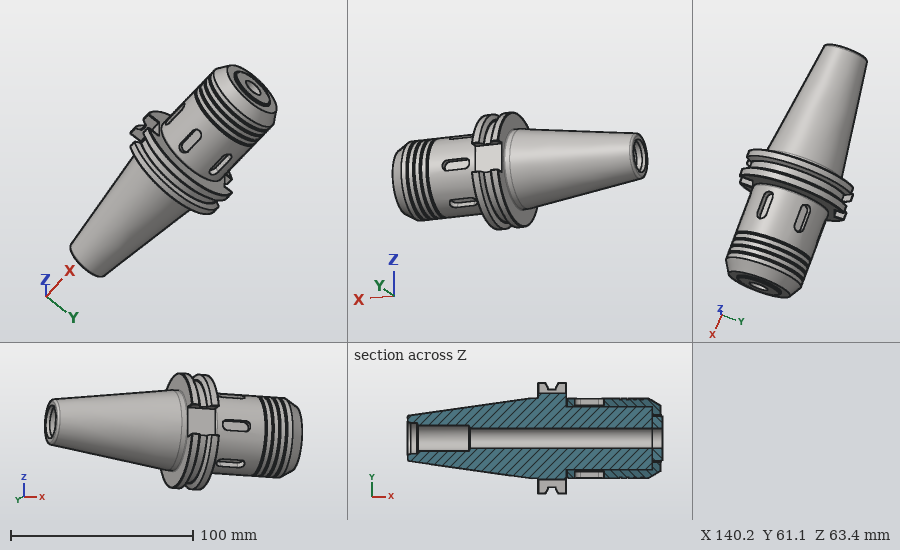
import cadquery as cq
import math

TOTAL_LENGTH = 140.2

TAPER_LENGTH = 68.3
TAPER_END_DIA = 25.0
SHANK_DIA = 44.3
END_FILLET = 1.4
ROOT_FILLET = 0.4

FLANGE_START = 71.7
FLANGE_END = 87.4
FLANGE_DIA = 63.4
FLANGE_CHAMFER = 0.4
GRIP_CENTRE = 79.4
GRIP_FLOOR_DIA = 56.2
GRIP_FLOOR_WIDTH = 4.0
GRIP_MOUTH_WIDTH = 7.3
GRIP_WALL_DIA = 57.5
KEY_SLOT_WIDTH = 16.1
KEY_FLOOR_FRONT = 22.7
KEY_FLOOR_BACK = 24.8

MOUTH_DIA = 18.2
MOUTH_DEPTH = 2.0
ENTRY_DIA = 16.7
ENTRY_END = 5.2
MIDDLE_DIA = 13.9
MIDDLE_END = 33.7
THROUGH_DIA = 10.7
STEP_HALF_ANGLE = 60

CORE_DIA = 35.0
CORE_END = 134.6

NUT_START = 87.8
NUT_END = 139.1
NUT_DIA = 44.0
NUT_FILLET = 1.0
NOSE_START = 132.4
NOSE_DIA = 36.0
GROOVE_COUNT = 4
GROOVE_START = 116.7
GROOVE_PITCH = 3.9
GROOVE_WIDTH = 1.0
GROOVE_DEPTH = 0.5

SLOT_COUNT = 6
SLOT_CENTRE = 100.0
SLOT_LENGTH = 16.0
SLOT_WIDTH = 6.0
SLOT_FLOOR_RADIUS = 18.2

RING_DIA = 25.8
RING_END = 139.5
SLEEVE_DIA = 24.1


def revolve_about_x(profile):
    """Turn an (x, radius) half profile once around the X axis."""
    return profile.close().revolve(360, (0, 0, 0), (1, 0, 0))


def cylinder(start, end, diameter):
    """Cylinder along X from start to end."""
    return cq.Workplane("YZ").workplane(offset=start).circle(diameter / 2).extrude(end - start)


def tube(start, end, outer_dia, inner_dia):
    """Hollow cylinder along X from start to end."""
    return cylinder(start, end, outer_dia).cut(cylinder(start, end, inner_dia))


def make_shank():
    """Taper and gauge cylinder, with a small fillet into the flange face."""
    shank_radius = SHANK_DIA / 2
    shank = revolve_about_x(
        cq.Workplane("XY")
        .lineTo(0, TAPER_END_DIA / 2)
        .lineTo(TAPER_LENGTH, shank_radius)
        .lineTo(FLANGE_START - ROOT_FILLET, shank_radius)
        .tangentArcPoint((ROOT_FILLET, ROOT_FILLET), relative=True)
        .lineTo(FLANGE_START, 0)
    )
    return shank.faces("<X").edges().fillet(END_FILLET)


def make_flange():
    flange = cylinder(FLANGE_START, FLANGE_END, FLANGE_DIA)
    for side, floor in ((-1, KEY_FLOOR_FRONT), (1, KEY_FLOOR_BACK)):
        key_slot = cq.Workplane("XY").box(
            FLANGE_END - FLANGE_START, FLANGE_DIA, KEY_SLOT_WIDTH, centered=(False, True, True)
        )
        flange = flange.cut(key_slot.translate((FLANGE_START, side * (floor + FLANGE_DIA / 2), 0)))

    rim_corners = flange.edges("|X").filter(
        lambda edge: abs(edge.Center().y) > KEY_FLOOR_BACK + FLANGE_CHAMFER
    )
    end_face_edges = flange.faces("<X or >X").edges("not |Z")
    flange = end_face_edges.add(rim_corners).chamfer(FLANGE_CHAMFER)

    mouth_half = GRIP_MOUTH_WIDTH / 2
    floor_half = GRIP_FLOOR_WIDTH / 2
    grip_groove = revolve_about_x(
        cq.Workplane("XY")
        .moveTo(GRIP_CENTRE - mouth_half, FLANGE_DIA / 2)
        .lineTo(GRIP_CENTRE - floor_half, GRIP_WALL_DIA / 2)
        .lineTo(GRIP_CENTRE - floor_half, GRIP_FLOOR_DIA / 2)
        .lineTo(GRIP_CENTRE + floor_half, GRIP_FLOOR_DIA / 2)
        .lineTo(GRIP_CENTRE + floor_half, GRIP_WALL_DIA / 2)
        .lineTo(GRIP_CENTRE + mouth_half, FLANGE_DIA / 2)
    )
    return flange.cut(grip_groove)


def make_bore():
    """Cutter for the bore: a flared mouth, then cones narrowing down to the through hole."""
    step_slope = math.tan(math.radians(STEP_HALF_ANGLE))
    entry_cone = (ENTRY_DIA - MIDDLE_DIA) / 2 / step_slope
    middle_cone = (MIDDLE_DIA - THROUGH_DIA) / 2 / step_slope
    return revolve_about_x(
        cq.Workplane("XY")
        .lineTo(0, MOUTH_DIA / 2)
        .lineTo(MOUTH_DEPTH, ENTRY_DIA / 2)
        .lineTo(ENTRY_END, ENTRY_DIA / 2)
        .lineTo(ENTRY_END + entry_cone, MIDDLE_DIA / 2)
        .lineTo(MIDDLE_END, MIDDLE_DIA / 2)
        .lineTo(MIDDLE_END + middle_cone, THROUGH_DIA / 2)
        .lineTo(CORE_END, THROUGH_DIA / 2)
        .lineTo(CORE_END, 0)
    )


def make_holder():
    core = cylinder(FLANGE_END, CORE_END, CORE_DIA)
    return make_shank().union(make_flange()).union(core).cut(make_bore())


def make_nut_blank():
    """Nut with its rounded rear edge and conical nose, hollow for the core and the front ring."""
    nose_length = NUT_END - NOSE_START
    barrel = cylinder(NUT_START, NOSE_START, NUT_DIA).faces("<X").edges().fillet(NUT_FILLET)
    nose = revolve_about_x(
        cq.Workplane("XY", origin=(NOSE_START, 0, 0))
        .lineTo(0, NUT_DIA / 2)
        .lineTo(nose_length, NOSE_DIA / 2)
        .lineTo(nose_length, 0)
    )
    core_hole = cylinder(NUT_START, CORE_END, CORE_DIA)
    ring_hole = cylinder(CORE_END, NUT_END, RING_DIA)
    return barrel.union(nose).cut(core_hole).cut(ring_hole)


def make_nut():
    nut = make_nut_blank()
    for index in range(GROOVE_COUNT):
        start = GROOVE_START + index * GROOVE_PITCH
        nut = nut.cut(tube(start, start + GROOVE_WIDTH, NUT_DIA, NUT_DIA - 2 * GROOVE_DEPTH))
    slot = (
        cq.Workplane("XZ", origin=(SLOT_CENTRE, -SLOT_FLOOR_RADIUS, 0))
        .slot2D(SLOT_LENGTH, SLOT_WIDTH)
        .extrude(NUT_DIA / 2)
    )
    for index in range(SLOT_COUNT):
        nut = nut.cut(slot.rotate((0, 0, 0), (1, 0, 0), index * 360 / SLOT_COUNT))
    return nut


holder = make_holder()
nut = make_nut()
front_ring = tube(CORE_END, RING_END, RING_DIA, SLEEVE_DIA)
collet_sleeve = tube(CORE_END, TOTAL_LENGTH, SLEEVE_DIA, THROUGH_DIA)

bodies = [holder, nut, front_ring, collet_sleeve]
result = cq.Compound.makeCompound([body.solids().val() for body in bodies])